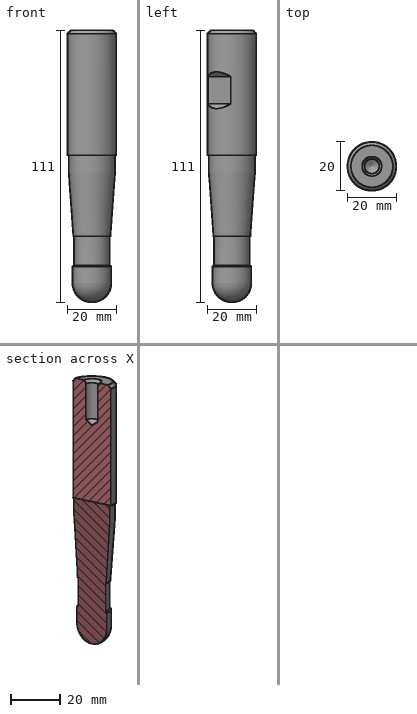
import cadquery as cq
import math

TOTAL_LENGTH = 111.0

SHANK_RADIUS = 20.0 / 2
SHANK_BOTTOM = 60.0
SHANK_CHAMFER = 1.4

FLAT_DISTANCE = 8.0
FLAT_BOTTOM = 81.0
FLAT_LENGTH = 11.0
FLAT_DIRECTION = 141.0
FLAT_CLEARANCE = 1.1

HOLE_RADIUS = 6.0 / 2
HOLE_MOUTH_RADIUS = 8.0 / 2
HOLE_MOUTH_DEPTH = 1.4
HOLE_DEPTH = 16.6
DRILL_POINT_ANGLE = 118.0

COLLAR_RADIUS = 19.0 / 2
COLLAR_BOTTOM = 52.9
TAPER_END_RADIUS = 15.2 / 2
TAPER_BOTTOM = 27.0
NECK_RADIUS = 14.6 / 2
HEAD_RADIUS = 16.0 / 2
HEAD_TOP = 15.2
HEAD_SLOPE_HEIGHT = HEAD_RADIUS - NECK_RADIUS


def make_hole_cutter():
    """Countersunk blind hole with a conical drill point."""
    point_depth = HOLE_RADIUS / math.tan(math.radians(DRILL_POINT_ANGLE / 2))
    hole_bottom = TOTAL_LENGTH - HOLE_DEPTH
    profile = [
        (0, TOTAL_LENGTH),
        (HOLE_MOUTH_RADIUS, TOTAL_LENGTH),
        (HOLE_RADIUS, TOTAL_LENGTH - HOLE_MOUTH_DEPTH),
        (HOLE_RADIUS, hole_bottom),
        (0, hole_bottom - point_depth),
    ]
    return cq.Workplane("XZ").polyline(profile).close().revolve(360, (0, 0), (0, 1))


def make_flat_cutter():
    """Trapezoidal prism whose ends slope outward at 45 degrees."""
    outer = SHANK_RADIUS + FLAT_CLEARANCE
    flare = outer - FLAT_DISTANCE
    flat_top = FLAT_BOTTOM + FLAT_LENGTH
    profile = [
        (FLAT_DISTANCE, FLAT_BOTTOM),
        (outer, FLAT_BOTTOM - flare),
        (outer, flat_top + flare),
        (FLAT_DISTANCE, flat_top),
    ]
    cutter = cq.Workplane("XZ").polyline(profile).close().extrude(outer, both=True)
    return cutter.rotate((0, 0, 0), (0, 0, 1), FLAT_DIRECTION)


def make_shank():
    """Cylinder with a chamfered top, a countersunk hole and a clamping flat."""
    shank = (
        cq.Workplane("XY")
        .workplane(offset=SHANK_BOTTOM)
        .circle(SHANK_RADIUS)
        .extrude(TOTAL_LENGTH - SHANK_BOTTOM)
        .faces(">Z")
        .chamfer(SHANK_CHAMFER)
    )
    return shank.cut(make_hole_cutter()).cut(make_flat_cutter())


def make_pin():
    """Turned pin: hemispherical head, neck, taper and collar below the shank."""
    dome_middle = HEAD_RADIUS * math.sqrt(0.5)
    return (
        cq.Workplane("XZ")
        .moveTo(0, 0)
        .threePointArc((dome_middle, HEAD_RADIUS - dome_middle), (HEAD_RADIUS, HEAD_RADIUS))
        .lineTo(HEAD_RADIUS, HEAD_TOP - HEAD_SLOPE_HEIGHT)
        .lineTo(NECK_RADIUS, HEAD_TOP)
        .lineTo(NECK_RADIUS, TAPER_BOTTOM)
        .lineTo(TAPER_END_RADIUS, TAPER_BOTTOM)
        .lineTo(COLLAR_RADIUS, COLLAR_BOTTOM)
        .lineTo(COLLAR_RADIUS, SHANK_BOTTOM)
        .lineTo(0, SHANK_BOTTOM)
        .close()
        .revolve(360, (0, 0), (0, 1))
    )


shank = make_shank()
pin = make_pin()
result = cq.Compound.makeCompound([shank.val(), pin.val()])